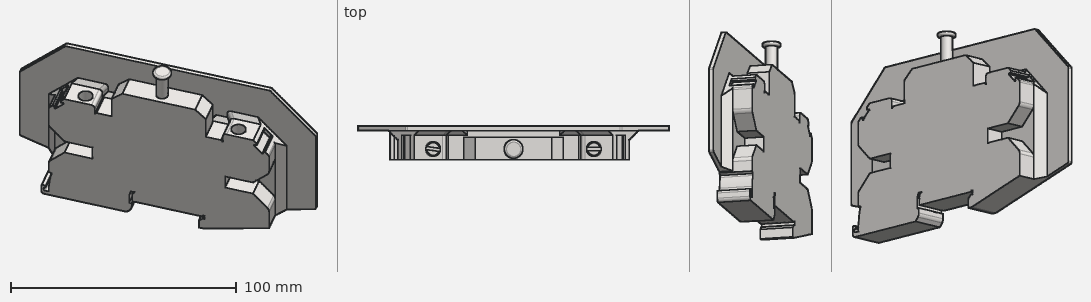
import cadquery as cq
import math

half_length = 69.0
depth = 15.0
total_height = 84.3

plate_thickness = 2.1
plate_top = 79.0
plate_top_half = 47.6
plate_shoulder = 57.5
plate_corner_radius = 1.1
underside_slope = math.tan(math.radians(16))
underside_right_start = 21.0
underside_left_end = 19.6

body_half = 51.3
body_corner_radius = 1.2
slope_height = 103.5
plateau_top = 59.5
plateau_inner = 29.8
plateau_radius = 1.7
recess_floor = 55.3
recess_notch = 0.8
rim = 2.1
rim_gap_half = 20.5
flange = 4.1

funnel_inner = 30.9
funnel_throat = 43.9
funnel_middle = 30.8
funnel_half_height = 3.3
funnel_edge_radius = 2.8

groove_centre_x = 47.6
groove_half = 2.8
groove_neck_half = 2.1
groove_neck_depth = 0.7
groove_widen_depth = 1.4
groove_depth = 2.0

axis_y = -10.2
screw_x = 35.6
screw_hole_diameter = 6.5
screw_hole_depth = 11.0
screw_slot_width = 1.4
screw_head_diameter = 5.7
screw_head_height = 1.1
screw_turns = {-1: -8.0, 1: 0.0}
block_half = 22.0
block_top = 70.2
block_top_half = 17.0
block_shoulder = 65.8
block_back = 5.0
pin_diameter = 5.4
pin_head_flat = 6.3
pin_head_height = 2.0

tolerance = 0.1

foot_left = -54.8
rail_top = 7.0
claw_bottom_left = -14.8
claw_face_left = -12.7
slot_left = -13.8
slot_right = -12.4
slot_top = 12.8
slot_bottom = 5.8
claw_face_right = 18.6
claw_groove_right = 21.3


def front_plane(distance):
    """XZ workplane at a distance in front of the back face; extrude() goes forward."""
    return cq.Workplane("XZ", origin=(0, -distance, 0))


def prism(points, near, far):
    return front_plane(near).polyline(points).close().extrude(far - near)


def underside_left(x):
    return underside_left_end - underside_slope * (x + half_length)


def underside_right(x):
    return underside_slope * (x - underside_right_start)


def mirrored(solid):
    return solid.union(solid.mirror("YZ"))


def make_plate():
    seam = body_half - flange
    points = [
        (-half_length, underside_left(-half_length)),
        (-half_length, plate_shoulder),
        (-plate_top_half, plate_top),
        (plate_top_half, plate_top),
        (half_length, plate_shoulder),
        (half_length, underside_right(half_length)),
        (seam, underside_right(seam)),
        (seam, funnel_middle),
        (-seam, funnel_middle),
        (-seam, underside_left(-seam)),
    ]
    plate = prism(points, 0, plate_thickness)
    outer_corners = plate.edges("|Y").filter(lambda edge: abs(edge.Center().x) > seam + tolerance)
    return outer_corners.fillet(plate_corner_radius)


def make_foot():
    """Rail foot below the housing, through the full thickness."""
    neck = underside_left(-body_half)
    return (
        front_plane(0)
        .moveTo(-body_half, neck)
        .lineTo(-body_half, 14.0)
        .lineTo(-49.8, 13.1)
        .lineTo(-50.1, 12.3)
        .threePointArc((-50.6, 9.8), (-50.9, 7.2))
        .lineTo(-body_half, 4.3)
        .lineTo(-body_half, 2.1)
        .lineTo(-53.0, 2.1)
        .threePointArc((-53.7, 2.9), (-52.9, 3.7))
        .lineTo(-52.9, 4.5)
        .threePointArc((-54.0, 5.2), (foot_left, 4.1))
        .lineTo(foot_left, 1.8)
        .threePointArc((-54.5, 0.7), (-53.7, 0))
        .lineTo(claw_bottom_left, 0)
        .lineTo(-13.2, 1.8)
        .threePointArc((-12.8, 2.6), (claw_face_left, 3.6))
        .lineTo(claw_face_left, slot_bottom)
        .lineTo(slot_left, slot_bottom)
        .lineTo(slot_left, 10.5)
        .lineTo(-12.8, slot_top)
        .lineTo(-11.3, slot_top)
        .lineTo(slot_right, 11.2)
        .lineTo(slot_right, rail_top)
        .lineTo(20.3, rail_top)
        .lineTo(20.7, 7.6)
        .lineTo(claw_groove_right, 7.6)
        .lineTo(claw_groove_right, 5.8)
        .lineTo(20.4, 5.8)
        .lineTo(claw_face_right, 4.3)
        .lineTo(claw_face_right, 0)
        .lineTo(underside_right_start, 0)
        .lineTo(body_half, underside_right(body_half))
        .lineTo(body_half, neck)
        .close()
        .extrude(depth)
    )


def top_outline(workplane, grow):
    """Housing outline above the foot, its top edges moved outward by grow."""
    bottom = underside_left(-body_half)
    top = plateau_top + grow
    wall = plateau_inner - grow
    floor = recess_floor + grow
    arc = plateau_radius
    arc_mid = arc * (1 - math.sqrt(0.5))
    return (
        workplane
        .moveTo(-body_half, bottom)
        .lineTo(-body_half, slope_height - body_half)
        .lineTo(top - slope_height, top)
        .lineTo(-wall - arc, top)
        .threePointArc((-wall - arc_mid, top - arc_mid), (-wall, top - arc))
        .lineTo(-wall, floor)
        .lineTo(wall, floor)
        .lineTo(wall, top - arc)
        .threePointArc((wall + arc_mid, top - arc_mid), (wall + arc, top))
        .lineTo(slope_height - top, top)
        .lineTo(body_half, slope_height - body_half)
        .lineTo(body_half, bottom)
        .close()
    )


def make_housing():
    housing = top_outline(front_plane(0), 0).extrude(depth)
    corner_height = slope_height - body_half
    end_corners = housing.edges("|Y").filter(lambda edge: abs(edge.Center().z - corner_height) < tolerance)
    return end_corners.fillet(body_corner_radius)


def make_rim():
    base = top_outline(front_plane(plate_thickness), rim)
    rim_body = top_outline(base.workplane(offset=rim), 0).loft(ruled=True)
    gap = prism([
        (-rim_gap_half, recess_floor),
        (-rim_gap_half - rim, recess_floor + rim),
        (rim_gap_half + rim, recess_floor + rim),
        (rim_gap_half, recess_floor),
    ], plate_thickness, plate_thickness + rim)
    return rim_body.cut(gap)


def flange_outline(workplane, half, side, underside):
    inner = body_half - flange
    return workplane.polyline([
        (side * half, underside(side * half)),
        (side * half, slope_height - half),
        (side * inner, slope_height - inner),
        (side * inner, underside(side * inner)),
    ]).close()


def make_flange(side, underside):
    base = flange_outline(front_plane(plate_thickness), body_half + flange, side, underside)
    front = base.workplane(offset=flange)
    return flange_outline(front, body_half, side, underside).loft(ruled=True)


def make_funnels():
    """Funnel-shaped side openings, from the front face back to the flange."""
    low = funnel_middle - funnel_half_height
    high = funnel_middle + funnel_half_height
    flare = body_half - funnel_throat
    tangent = funnel_edge_radius * math.tan(math.pi / 8)
    arc_x = funnel_edge_radius * (1 - math.cos(math.pi / 8))
    arc_z = tangent - funnel_edge_radius * math.sin(math.pi / 8)
    step = tangent * math.sqrt(0.5)
    outside = body_half + flange
    funnel = (
        front_plane(plate_thickness + flange)
        .moveTo(-funnel_inner, low)
        .lineTo(-funnel_inner, high)
        .lineTo(-funnel_throat, high)
        .lineTo(-body_half + step, high + flare - step)
        .threePointArc((-body_half + arc_x, high + flare + arc_z), (-body_half, high + flare + tangent))
        .lineTo(-outside, high + flare + tangent)
        .lineTo(-outside, low - flare - tangent)
        .lineTo(-body_half, low - flare - tangent)
        .threePointArc((-body_half + arc_x, low - flare - arc_z), (-body_half + step, low - flare + step))
        .lineTo(-funnel_throat, low)
        .close()
        .extrude(depth)
    )
    return mirrored(funnel)


def make_marker_grooves():
    """Undercut grooves in the 45 degree end slopes, open at the front face."""
    half_profile = [
        (groove_half, 0),
        (groove_neck_half, -groove_neck_depth),
        (groove_half, -groove_widen_depth),
        (groove_half, -groove_depth),
    ]
    points = half_profile + [(-x, z) for x, z in reversed(half_profile)]
    groove = (
        prism(points, plate_thickness + rim, depth)
        .rotate((0, 0, 0), (0, 1, 0), -45)
        .translate((-groove_centre_x, 0, slope_height - groove_centre_x))
    )
    return mirrored(groove)


def make_recess_notches():
    notch = prism([
        (-plateau_inner, recess_floor),
        (-plateau_inner, recess_floor - recess_notch),
        (-plateau_inner + recess_notch, recess_floor),
    ], plate_thickness + rim, depth)
    return mirrored(notch)


def make_screw_hole(side):
    """Round hole with a slotted screw head standing on its floor."""
    floor = cq.Workplane("XY", origin=(0, 0, plateau_top - screw_hole_depth))
    hole = floor.circle(screw_hole_diameter / 2).extrude(screw_hole_depth)
    slot = floor.rect(screw_hole_diameter, screw_slot_width).extrude(screw_head_height)
    head = floor.circle(screw_head_diameter / 2).extrude(screw_head_height).cut(slot)
    head = head.rotate((0, 0, 0), (0, 0, 1), screw_turns[side])
    return hole.cut(head).translate((side * screw_x, axis_y, 0))


def make_block():
    return prism([
        (-block_half, recess_floor),
        (-block_half, block_shoulder),
        (-block_top_half, block_top),
        (block_top_half, block_top),
        (block_half, block_shoulder),
        (block_half, recess_floor),
    ], block_back, depth)


def make_pin():
    head_bottom = total_height - pin_head_height
    stem = (
        cq.Workplane("XY", origin=(0, axis_y, block_top))
        .circle(pin_diameter / 2)
        .extrude(head_bottom - block_top)
    )
    flat_radius = pin_head_flat / 2
    head = (
        cq.Workplane("XZ")
        .moveTo(0, head_bottom)
        .lineTo(flat_radius, head_bottom)
        .threePointArc(
            (flat_radius + pin_head_height / 2, total_height - pin_head_height / 2),
            (flat_radius, total_height),
        )
        .lineTo(0, total_height)
        .close()
        .revolve(360, (0, 0, 0), (0, 1, 0))
        .translate((0, axis_y, 0))
    )
    return stem.union(head)


housing = make_housing().union(make_foot()).union(make_rim())
housing = housing.union(make_flange(-1, underside_left)).union(make_flange(1, underside_right))
housing = housing.cut(make_funnels()).cut(make_marker_grooves()).cut(make_recess_notches())
for side in screw_turns:
    housing = housing.cut(make_screw_hole(side))

result = make_plate().union(housing).union(make_block()).union(make_pin())